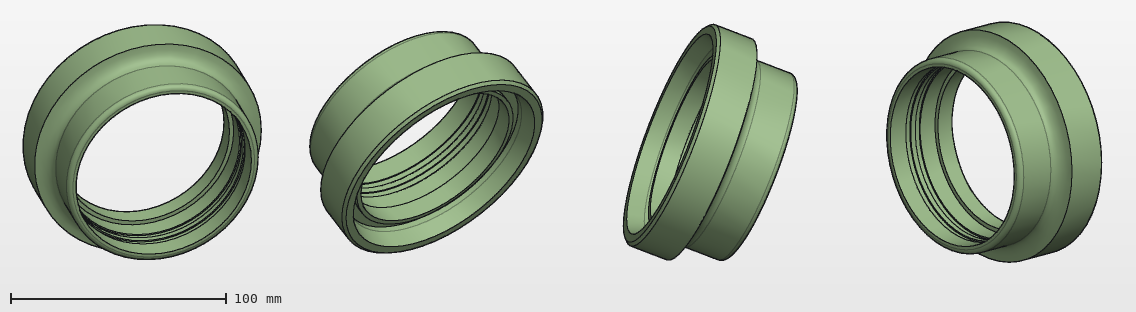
import cadquery as cq

total_length = 45.0
flange_radius = 110 / 2
flange_end = 20.0
flange_chamfer = 1.4
spigot_radius = 93.0 / 2
blend_end = 25.5
spigot_rounding = 2.4

recess_mouth_radius = 49.6
trench_outer_radius = 94.8 / 2
taper_end = 7.9
trench_floor = 11.0
lip_outer_radius = 85.4 / 2
lip_face = 7.9

throat_radius = 81.0 / 2
throat_end = 16.8
bore_radius = 85.0 / 2
groove_radius = 86.4 / 2
groove_width = 3.1
first_groove_start = 26.2
groove_spacing = 5.9
groove_count = 2

X_AXIS = ((0, 0, 0), (1, 0, 0))


def ring(start, width, outer_radius):
    """Make a solid disc about X, starting at the given axial position."""
    return cq.Workplane("YZ", origin=(start, 0, 0)).circle(outer_radius).extrude(width)


def make_outer_body():
    """Revolve the flange and spigot, joined by a quarter-ellipse blend."""
    blend_length = blend_end - flange_end
    blend_height = flange_radius - spigot_radius
    profile = (
        cq.Workplane("XY")
        .moveTo(0, 0)
        .lineTo(0, flange_radius - flange_chamfer)
        .lineTo(flange_chamfer, flange_radius)
        .lineTo(flange_end, flange_radius)
        .ellipseArc(blend_length, blend_height, 180, 270, startAtCurrent=True)
        .lineTo(total_length - spigot_rounding, spigot_radius)
        .radiusArc((total_length, spigot_radius - spigot_rounding), spigot_rounding)
        .lineTo(total_length, 0)
        .close()
    )
    return profile.revolve(360, *X_AXIS)


def make_inner_cut():
    """Revolve the recess, trench, throat and rear bore as one cavity."""
    profile = cq.Workplane("XY").polyline([
        (0, 0),
        (0, recess_mouth_radius),
        (taper_end, trench_outer_radius),
        (trench_floor, trench_outer_radius),
        (trench_floor, lip_outer_radius),
        (lip_face, lip_outer_radius),
        (lip_face, throat_radius),
        (throat_end, throat_radius),
        (throat_end, bore_radius),
        (total_length, bore_radius),
        (total_length, 0),
    ]).close()
    return profile.revolve(360, *X_AXIS)


result = make_outer_body().cut(make_inner_cut())
for index in range(groove_count):
    groove_start = first_groove_start + index * groove_spacing
    result = result.cut(ring(groove_start, groove_width, groove_radius))